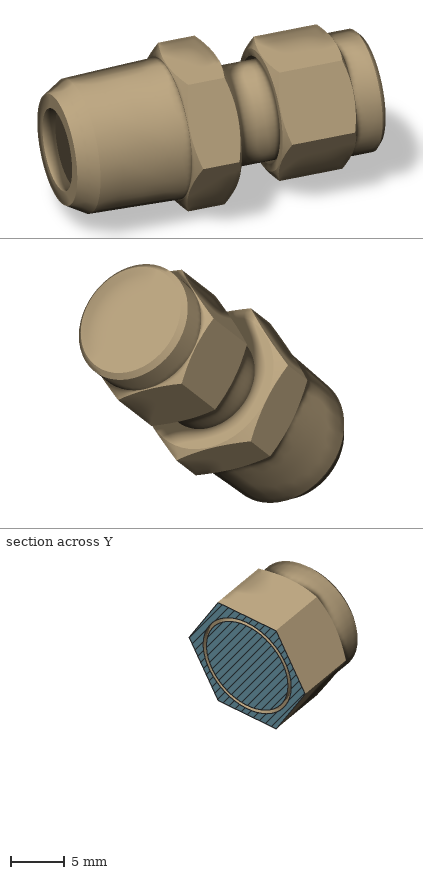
import cadquery as cq
import math

total_length = 31.0
thread_chamfer_length = 1.92
thread_length = 10.97
body_hex_length = 5.02
neck_length = 4.45
nut_hex_length = 7.5
recess_depth = 1.25

body_hex_flats = 14.0
nut_hex_flats = 12.0
thread_tip_radius = 5.4
thread_small_radius = 6.5
thread_large_radius = 6.82
neck_radius = 4.87
recess_radius = 5.2
collar_radius = 5.92
collar_chamfer = 0.5
bore_radius = 4.0
bore_depth = 1.3
hex_chamfer_inset = 0.1
hex_chamfer_angle = 30.0

body_hex_start = thread_length
neck_start = body_hex_start + body_hex_length
nut_start = neck_start + neck_length
collar_start = nut_start + nut_hex_length


def revolve_profile(points):
    """Revolve a closed (radius, y) outline about the Y axis."""
    return cq.Workplane("XY").polyline(points).close().revolve(360, (0, 0, 0), (0, 1, 0))


def chamfered_hex(flats, start, length):
    """Hexagon with corners on X and conical chamfers at both ends."""
    corner_radius = flats / math.sqrt(3)
    face_radius = flats / 2 - hex_chamfer_inset
    chamfer_length = (corner_radius - face_radius) * math.tan(math.radians(hex_chamfer_angle))
    end = start + length
    prism = (
        cq.Workplane("XZ", origin=(0, start, 0))
        .polygon(6, 2 * corner_radius)
        .extrude(-length)
    )
    envelope = revolve_profile([
        (0, start),
        (face_radius, start),
        (corner_radius, start + chamfer_length),
        (corner_radius, end - chamfer_length),
        (face_radius, end),
        (0, end),
    ])
    return prism.intersect(envelope)


core = revolve_profile([
    (0, 0),
    (thread_tip_radius, 0),
    (thread_small_radius, thread_chamfer_length),
    (thread_large_radius, thread_length),
    (neck_radius, thread_length),
    (neck_radius, collar_start),
    (collar_radius, collar_start),
    (collar_radius, total_length - collar_chamfer),
    (collar_radius - collar_chamfer, total_length),
    (0, total_length),
])

body_hex = chamfered_hex(body_hex_flats, body_hex_start, body_hex_length)
nut_hex = chamfered_hex(nut_hex_flats, nut_start, nut_hex_length)

bore = cq.Workplane("XZ").circle(bore_radius).extrude(-bore_depth)

recess = cq.Workplane("XZ", origin=(0, nut_start, 0)).circle(recess_radius).extrude(-recess_depth)
nut_hex = nut_hex.cut(recess)

result = core.union(body_hex).union(nut_hex).cut(bore)